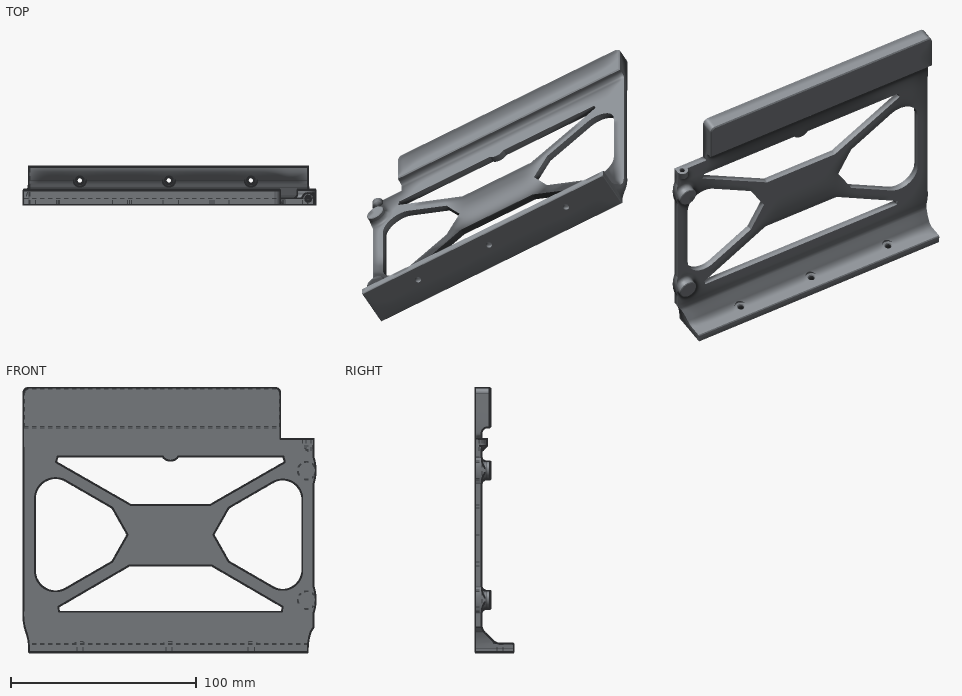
import cadquery as cq
import math


total_width = 157.64
total_depth = 20.79
total_height = 142.72

plate_thickness = 3.5
plate_right = 156.5
shelf_height = 115.1
bottom_chamfer = 0.4

block_width = 138.6
block_depth = 8.3
block_bottom = 121.2
block_corner_radius = 3.1
block_cove_radius = 3.0
block_chamfer = 0.6

relief_depth = 0.1
relief_bottom = 22.4
relief_top = 104.8
relief_run_out_top = 112.7

foot_inset = 3.1
flank_top = 20.0
flank_bottom = 2.2
right_flank_line_bottom = (154.9, 11.1)
right_flank_line_top = 13.7

foot_thickness = 4.9
foot_blend_radius = 5.2
foot_rear_chamfer = 0.5
slope_front_reach = 16.0

boss_diameter = 10.0
boss_x = total_width - boss_diameter / 2
boss_heights = (28.4, 98.1)
boss_flare_radius = 2.4
boss_chamfer = 0.4
edge_bulge_half_length = 7.0

window_center_x = 79.35
window_center_z = 63.5
window_left_wall = 6.4
window_right_wall = 150.3
side_window_tip = 23.2
side_window_knee = (31.4, 14.5)
left_window_radius = 11.0
right_window_radius = 10.5
strut_angle = 30.0
upper_window_points = ((21.25, 79.5), (61.6, 102.6), (60.75, 105.5))
lower_window_points = ((22.25, 46.8), (60.4, 24.6), (59.9, 22.0))
tab_diameter = 10.0
tab_center_z = 108.3

foot_hole_x = (30.5, 78.5, 122.7)
foot_hole_y = 13.2
foot_hole_diameter = 3.3
foot_hole_mouth_diameter = 4.3
foot_spotface_diameter = 6.8

post_radius = 3.1
post_x = 153.5
post_y = 3.3
post_height = 3.8
post_hole_diameter = 2.7
post_hole_mouth_diameter = 3.3
post_hole_depth = 6.0


def extrude_back(outline, depth):
    """Extrude an outline drawn on XZ from the front face toward the rear."""
    return outline.close().extrude(-depth)


def mouth_cone(x, y, top, mouth_diameter, hole_diameter):
    """45 degree countersink whose rim lies at height top."""
    depth = (mouth_diameter - hole_diameter) / 2
    return cq.Workplane("XY").add(
        cq.Solid.makeCone(
            hole_diameter / 2, mouth_diameter / 2, depth, cq.Vector(x, y, top - depth), cq.Vector(0, 0, 1)
        )
    )


def make_front_outline(depth):
    """Silhouette of the plate and foot, with S-shaped flanks and two bulges on the right edge."""
    flank_middle = (foot_inset / 2, (flank_top + flank_bottom) / 2)
    foot_right = plate_right - foot_inset
    outline = (
        cq.Workplane("XZ")
        .moveTo(foot_inset, 0)
        .lineTo(foot_right, 0)
        .lineTo(foot_right, flank_bottom)
        .tangentArcPoint(right_flank_line_bottom, relative=False)
        .lineTo(plate_right, right_flank_line_top)
    )
    for z in boss_heights:
        outline = outline.lineTo(plate_right, z - edge_bulge_half_length).threePointArc(
            (total_width, z), (plate_right, z + edge_bulge_half_length)
        )
    outline = (
        outline.lineTo(plate_right, shelf_height)
        .lineTo(block_width, shelf_height)
        .lineTo(block_width, total_height)
        .lineTo(0, total_height)
        .lineTo(0, relief_run_out_top)
        .lineTo(relief_depth, relief_top)
        .lineTo(relief_depth, relief_bottom)
        .lineTo(0, relief_bottom)
        .lineTo(0, flank_top)
        .tangentArcPoint(flank_middle, relative=False)
        .tangentArcPoint((foot_inset, flank_bottom), relative=False)
    )
    return extrude_back(outline, depth)


def make_side_section():
    """Plate, foot and top block in section, extruded over the full width."""
    blend_run = foot_blend_radius * math.sin(math.radians(45))
    blend_rise = foot_blend_radius - blend_run
    slope_low_z = foot_thickness + blend_rise
    slope_low_y = slope_front_reach - slope_low_z
    slope_high_y = plate_thickness + blend_rise
    slope_high_z = slope_front_reach - slope_high_y
    section = (
        cq.Workplane("YZ")
        .moveTo(0, 0)
        .lineTo(total_depth, 0)
        .lineTo(total_depth, foot_thickness - foot_rear_chamfer)
        .lineTo(total_depth - foot_rear_chamfer, foot_thickness)
        .lineTo(slope_low_y + blend_run, foot_thickness)
        .tangentArcPoint((slope_low_y, slope_low_z), relative=False)
        .lineTo(slope_high_y, slope_high_z)
        .tangentArcPoint((plate_thickness, slope_high_z + blend_run), relative=False)
        .lineTo(plate_thickness, block_bottom - block_cove_radius)
        .tangentArcPoint((plate_thickness + block_cove_radius, block_bottom), relative=False)
        .lineTo(block_depth, block_bottom)
        .lineTo(block_depth, total_height)
        .lineTo(0, total_height)
        .close()
    )
    return section.extrude(total_width)


def make_body():
    """Front silhouette intersected with the side section, edges finished."""
    body = make_front_outline(total_depth).intersect(make_side_section())
    margin = 0.1
    top_corners = cq.selectors.BoxSelector(
        (-margin, -margin, total_height - margin),
        (block_width + margin, block_depth + margin, total_height + margin),
    )
    body = body.edges("|Y").edges(top_corners).fillet(block_corner_radius)
    body = body.faces("<Z").edges().chamfer(bottom_chamfer)
    block_rear = cq.selectors.BoxSelector(
        (-margin, block_depth - margin, block_bottom - margin),
        (block_width + margin, block_depth + margin, total_height + margin),
    )
    return body.faces(block_rear).edges().chamfer(block_chamfer)


def make_edge_boss(z):
    """Round boss on the plate rear, flared where it meets the plate, chamfered at its end."""
    radius = boss_diameter / 2
    flare_end = plate_thickness + boss_flare_radius
    profile = (
        cq.Workplane("XY")
        .moveTo(0, 0)
        .lineTo(radius + boss_flare_radius, 0)
        .lineTo(radius + boss_flare_radius, plate_thickness)
        .radiusArc((radius, flare_end), boss_flare_radius)
        .lineTo(radius, block_depth - boss_chamfer)
        .lineTo(radius - boss_chamfer, block_depth)
        .lineTo(0, block_depth)
        .close()
    )
    boss = profile.revolve(360, (0, 0, 0), (0, 1, 0)).translate((boss_x, 0, z))
    return boss.intersect(make_front_outline(block_depth))


def make_screw_post():
    """Upright post at the shelf corner, tapering at 45 degrees into the plate below."""
    up = cq.Vector(0, 0, 1)
    cylinder_bottom = shelf_height - post_height
    cylinder = cq.Solid.makeCylinder(post_radius, post_height, cq.Vector(post_x, post_y, cylinder_bottom), up)
    taper = cq.Solid.makeCone(
        0, post_radius, post_radius, cq.Vector(post_x, post_y, cylinder_bottom - post_radius), up
    )
    return cq.Workplane("XY").add(cylinder).union(cq.Workplane("XY").add(taper))


def make_post_hole():
    """Blind screw hole down the post, with a small countersink."""
    hole = (
        cq.Workplane("XY", origin=(post_x, post_y, shelf_height))
        .circle(post_hole_diameter / 2)
        .extrude(-post_hole_depth)
    )
    return hole.union(mouth_cone(post_x, post_y, shelf_height, post_hole_mouth_diameter, post_hole_diameter))


def make_side_window(direction, wall_x, radius):
    """Five-sided window left (-1) or right (+1) of the centre, rounded at its outer corners."""
    knee_x = window_center_x + direction * side_window_knee[0]
    tip_x = window_center_x + direction * side_window_tip
    rise = abs(wall_x - knee_x) * math.tan(math.radians(strut_angle))
    knee_half = side_window_knee[1]
    outline = cq.Workplane("XZ").polyline(
        [
            (wall_x, window_center_z + knee_half + rise),
            (knee_x, window_center_z + knee_half),
            (tip_x, window_center_z),
            (knee_x, window_center_z - knee_half),
            (wall_x, window_center_z - knee_half - rise),
        ]
    )
    wall_side = "<X" if direction < 0 else ">X"
    return extrude_back(outline, total_depth).faces(wall_side).edges("|Y").fillet(radius)


def make_long_window(half_points):
    """Window symmetric about the centre line, given by its right half as (offset, height)."""
    right_half = [(window_center_x + offset, z) for offset, z in half_points]
    left_half = [(window_center_x - offset, z) for offset, z in reversed(half_points)]
    return extrude_back(cq.Workplane("XZ").polyline(right_half + left_half), total_depth)


def make_upper_window():
    """Upper window, with a round tab of the plate left standing in its top edge."""
    tab = (
        cq.Workplane("XZ", origin=(window_center_x, 0, tab_center_z))
        .circle(tab_diameter / 2)
        .extrude(-total_depth)
    )
    return make_long_window(upper_window_points).cut(tab)


def make_foot_hole(x):
    """Through hole with a countersunk mouth and a spotface sunk into the sloped blend."""
    hole = (
        cq.Workplane("XY", origin=(x, foot_hole_y, 0))
        .circle(foot_hole_diameter / 2)
        .extrude(foot_thickness)
    )
    spotface = (
        cq.Workplane("XY", origin=(x, foot_hole_y, foot_thickness))
        .circle(foot_spotface_diameter / 2)
        .extrude(total_depth)
    )
    mouth = mouth_cone(x, foot_hole_y, foot_thickness, foot_hole_mouth_diameter, foot_hole_diameter)
    return hole.union(mouth).union(spotface)


result = make_body()
for boss_z in boss_heights:
    result = result.union(make_edge_boss(boss_z))
result = result.union(make_screw_post())

result = result.cut(make_side_window(-1, window_left_wall, left_window_radius))
result = result.cut(make_side_window(1, window_right_wall, right_window_radius))
result = result.cut(make_upper_window())
result = result.cut(make_long_window(lower_window_points))
for hole_x in foot_hole_x:
    result = result.cut(make_foot_hole(hole_x))
result = result.cut(make_post_hole())